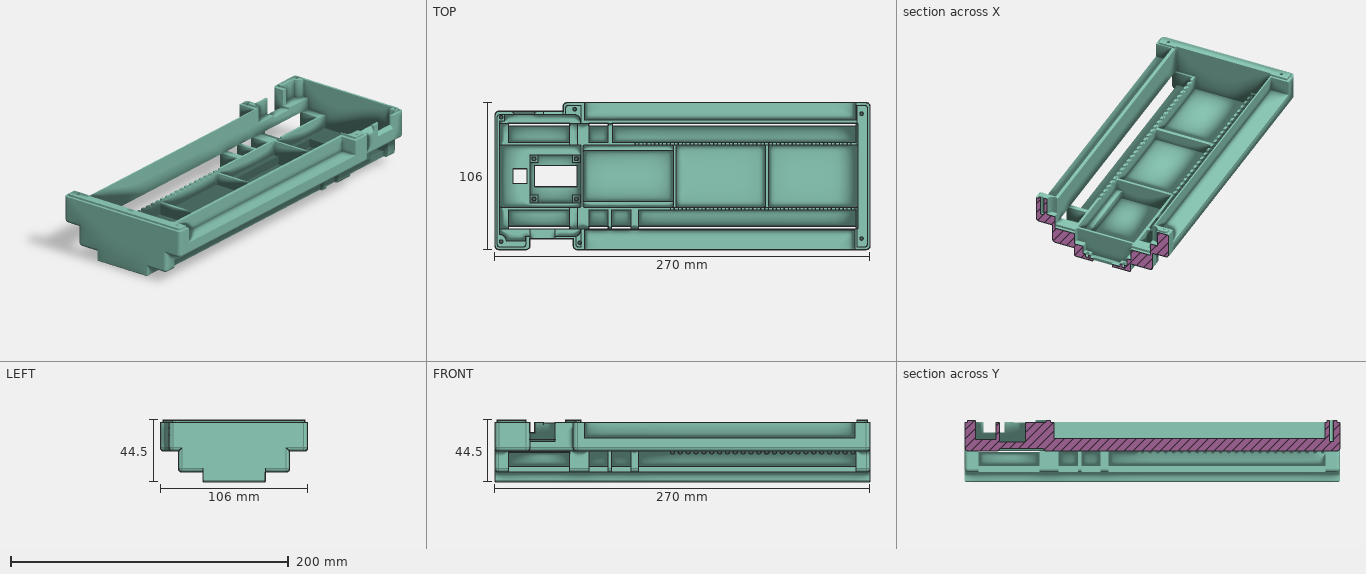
import cadquery as cq

length = 270.0
upper_half_width = 53.0
middle_half_width = 40.0
lower_half_width = 22.5
lower_height = 7.2
middle_height = 22.2
body_height = 43.0
lip_height = 1.5
total_height = body_height + lip_height
edge_radius = 2.5
middle_bottom_radius = 2.4
bottom_edge_radius = 1.0

back_side = 46.8
back_ear_start = 49.0
front_recess_side = 45.2
front_recess_start = 25.2
front_ear_start = 56.3
ear_radius = 3.0

lip_inset = 2.0
lip_left = 1.6
head_lip_end = 22.2
ear_lip_inset = 1.9
ear_lip_end = 61.9
foot_lip_start = 260.5
lip_corner_radius = 2.0

end_wall = 3.3
cavity_half_width = 37.9
cavity_end = 261.4
cavity_radius = 1.0
chamber_end = 61.5
chamber_back = 44.3
chamber_front = 43.5
chamber_floor = 30.7
chamber_radius = 4.5
post_pocket_end = 22.0
post_pocket_front = 46.8
post_radius = 4.9
back_post_end = 7.0
back_post_front = 39.5
cable_gap_floor = 29.1
cable_gap_end = 43.3
back_notch_start = 13.6
back_notch_end = 28.5
back_notch_floor = 35.6
back_notch_lip = 1.0
back_slope_start = 35.0
back_slope_step = 0.4
slope_steepness = 1.8

inner_half_width = 22.4
inner_wall = 1.8
window_inner = inner_half_width + inner_wall
pan_floor = 11.2
head_wall_top = 21.6
head_step = 59.4
head_bridge_start = 53.7
head_bridge_top = 20.4
head_end = 61.9
first_tray = (63.5, 128.5)
first_tray_well_half_width = 18.4
second_tray = (130.3, 194.6)
third_tray = (197.0, cavity_end)
tray_divider_top = 20.3
deep_floor = 2.4
first_tray_floor = 4.8

board_start = 25.2
board_back = 15.3
board_front = -19.2
display_window = (28.6, 59.0, -7.5, 7.6)
switch_window = (13.0, 23.0, -5.3, 5.2)
standoff_size = 5.6
standoff_height = 2.5
standoff_hole = 2.8
standoff_xs = (28.1, 58.6)
standoff_ys = (board_front + standoff_size / 2, board_back - standoff_size / 2)

floor_half_width = 36.2
back_windows = ((9.8, 53.7), (67.6, 81.5), (84.7, 259.8))
front_windows = ((9.8, 53.7), (67.6, 81.5), (84.0, 97.8), (103.4, 259.8))

rail_start = 64.3
rail_floor = 31.6
back_rail = (259.8, 40.3)
front_rail = (259.0, 38.9)

notch_diameter = 2.8
notch_pitch = 5.65
notch_height = 21.6
last_notch = 257.7
front_notch_count = 24
back_notch_count = 28
screw_diameter = 2.5
screw_depth = 15.0
screws = ((4.5, 42.3), (57.4, 48.2), (263.8, 44.9), (263.8, -44.9), (61.0, -47.9), (4.5, -47.1))


def block(x0, x1, y0, y1, z0, z1):
    return cq.Workplane("XY").box(x1 - x0, y1 - y0, z1 - z0, centered=False).translate((x0, y0, z0))


def rounded_block(x0, x1, y0, y1, z0, z1, radius):
    return block(x0, x1, y0, y1, z0, z1).edges("|Z").fillet(radius)


def make_tiers():
    upper = (
        cq.Workplane("XY", origin=(0, 0, middle_height))
        .moveTo(0, -upper_half_width)
        .lineTo(front_recess_start, -upper_half_width)
        .lineTo(front_recess_start, -front_recess_side)
        .lineTo(front_ear_start, -front_recess_side)
        .lineTo(front_ear_start, -upper_half_width)
        .lineTo(length, -upper_half_width)
        .lineTo(length, upper_half_width)
        .lineTo(back_ear_start, upper_half_width)
        .lineTo(back_ear_start, back_side)
        .lineTo(0, back_side)
        .close()
        .extrude(body_height - middle_height)
    )
    outer_corners = (
        (0, -upper_half_width), (front_recess_start, -upper_half_width),
        (front_ear_start, -upper_half_width), (length, -upper_half_width),
        (length, upper_half_width), (back_ear_start, upper_half_width), (0, back_side),
    )
    for corner in outer_corners:
        nearest = cq.selectors.NearestToPointSelector((*corner, (middle_height + body_height) / 2))
        upper = upper.edges("|Z").edges(nearest).fillet(ear_radius)
    upper = upper.faces("<Z").edges().fillet(edge_radius)

    middle = rounded_block(
        0, length, -middle_half_width, middle_half_width,
        lower_height, middle_height + edge_radius, edge_radius,
    )
    middle = middle.faces("<Z").edges().fillet(middle_bottom_radius)

    lower = block(0, length, -lower_half_width, lower_half_width, 0, lower_height + edge_radius)
    lower = lower.faces("<Z").edges().fillet(bottom_edge_radius)
    return upper.union(middle).union(lower)


def make_lip():
    lip_half_width = upper_half_width - lip_inset
    head = rounded_block(
        lip_left, head_lip_end, -lip_half_width, chamber_back, chamber_floor, total_height,
        lip_corner_radius,
    )
    foot = block(
        foot_lip_start, length - lip_inset, -lip_half_width, lip_half_width, body_height, total_height
    ).edges("|Z and >X").fillet(lip_corner_radius)
    back_ear = block(
        back_ear_start + ear_lip_inset, ear_lip_end, cavity_half_width, lip_half_width,
        body_height, total_height,
    ).edges("|Z and <X and >Y").fillet(lip_corner_radius)
    front_ear = block(
        front_ear_start + ear_lip_inset, ear_lip_end, -lip_half_width, -cavity_half_width,
        body_height, total_height,
    ).edges("|Z and <X and <Y").fillet(lip_corner_radius)
    return head.union(foot).union(back_ear).union(front_ear)


def head_chamber():
    chamber = block(
        end_wall, chamber_end, -chamber_front, chamber_back, chamber_floor, total_height
    ).edges("|Z and >X").fillet(chamber_radius)
    chamber = chamber.union(
        block(end_wall, post_pocket_end, -post_pocket_front, 0, chamber_floor, total_height)
    )
    front_post = (
        cq.Workplane("XY", origin=(end_wall, -post_pocket_front, chamber_floor))
        .circle(post_radius)
        .extrude(total_height - chamber_floor)
    )
    back_post = block(
        end_wall, back_post_end, back_post_front, chamber_back, chamber_floor, total_height
    )
    return chamber.cut(front_post).cut(back_post)


def head_wall_openings():
    gap = block(
        front_recess_start, cable_gap_end, -upper_half_width, -cavity_half_width,
        cable_gap_floor, total_height,
    )
    return gap.union(flared_notch()).union(outward_slope())


def flared_notch():
    flare_start = chamber_back + back_notch_lip
    flare = back_side - flare_start
    straight = block(
        back_notch_start, back_notch_end, chamber_back, flare_start, back_notch_floor, total_height
    )
    width = back_notch_end - back_notch_start
    height = total_height - back_notch_floor
    centre = ((back_notch_start + back_notch_end) / 2, flare_start, (total_height + back_notch_floor) / 2)
    flared = (
        cq.Workplane("XZ", origin=centre)
        .rect(width, height)
        .workplane(offset=-flare)
        .rect(width + 2 * flare, height + 2 * slope_steepness * flare)
        .loft(combine=True)
    )
    return straight.union(flared)


def outward_slope():
    inner_top = body_height - back_slope_step
    outer_top = inner_top - slope_steepness * (back_side - chamber_back)
    return (
        cq.Workplane("YZ", origin=(back_slope_start, 0, 0))
        .moveTo(chamber_back, inner_top)
        .lineTo(back_side, outer_top)
        .lineTo(back_side, body_height)
        .lineTo(chamber_back, body_height)
        .close()
        .extrude(back_ear_start - back_slope_start)
    )


def central_cavity():
    cavity = rounded_block(
        end_wall, cavity_end, -cavity_half_width, cavity_half_width,
        middle_height, total_height, cavity_radius,
    )
    head_drop = block(
        end_wall, head_step, -cavity_half_width, cavity_half_width, head_wall_top, total_height
    )
    bridge_drop = block(
        head_bridge_start, head_step, -cavity_half_width, cavity_half_width, head_bridge_top, total_height
    )
    return cavity.union(head_drop).union(bridge_drop).union(tray_divider_drop())


def tray_divider_drop():
    return block(
        first_tray[0] + cavity_radius, third_tray[0] + cavity_radius, -inner_half_width, inner_half_width,
        tray_divider_top, total_height,
    )


def compartment(x_range, half_width, floor):
    return rounded_block(*x_range, -half_width, half_width, floor, total_height, cavity_radius)


def compartments():
    pockets = compartment((end_wall, head_end), inner_half_width, pan_floor)
    for tray in (first_tray, second_tray, third_tray):
        pockets = pockets.union(compartment(tray, inner_half_width, pan_floor))
    return pockets.union(compartment(first_tray, first_tray_well_half_width, first_tray_floor))


def electronics_pocket():
    pocket = block(board_start, head_end, board_front, board_back, deep_floor, total_height)
    for x in standoff_xs:
        for y in standoff_ys:
            standoff = cq.Workplane("XY", origin=(x, y, deep_floor)).rect(standoff_size, standoff_size)
            standoff = standoff.extrude(standoff_height)
            hole = cq.Workplane("XY", origin=(x, y, deep_floor)).circle(standoff_hole / 2)
            pocket = pocket.cut(standoff.cut(hole.extrude(standoff_height)))
    for window in (display_window, switch_window):
        pocket = pocket.union(block(*window, 0, total_height))
    return pocket


def side_window(x_range, side):
    def across(inner, floor):
        y0, y1 = sorted((side * inner, side * middle_half_width))
        return block(*x_range, y0, y1, floor, middle_height)

    return across(window_inner, pan_floor).union(across(floor_half_width, lower_height))


def rail_recess(rail, side):
    rail_end, inner_face = rail
    y0, y1 = sorted((side * inner_face, side * upper_half_width))
    return block(rail_start, rail_end, y0, y1, rail_floor, total_height)


def wire_notches(last_centre, count, wall_start):
    centres = [(last_centre - i * notch_pitch, notch_height) for i in range(count)]
    return (
        cq.Workplane("XZ", origin=(0, wall_start + inner_wall, 0))
        .pushPoints(centres)
        .circle(notch_diameter / 2)
        .extrude(inner_wall)
    )


def screw_holes():
    return (
        cq.Workplane("XY", origin=(0, 0, total_height - screw_depth))
        .pushPoints(screws)
        .circle(screw_diameter / 2)
        .extrude(screw_depth)
    )


result = make_tiers().union(make_lip())
result = result.cut(head_chamber()).cut(head_wall_openings()).cut(central_cavity())
result = result.cut(compartments()).cut(electronics_pocket())
for x_range in back_windows:
    result = result.cut(side_window(x_range, 1))
for x_range in front_windows:
    result = result.cut(side_window(x_range, -1))
result = result.cut(rail_recess(back_rail, 1)).cut(rail_recess(front_rail, -1))
result = result.cut(wire_notches(last_notch - notch_pitch / 2, back_notch_count, inner_half_width))
result = result.cut(wire_notches(last_notch, front_notch_count, -window_inner))
result = result.cut(screw_holes())